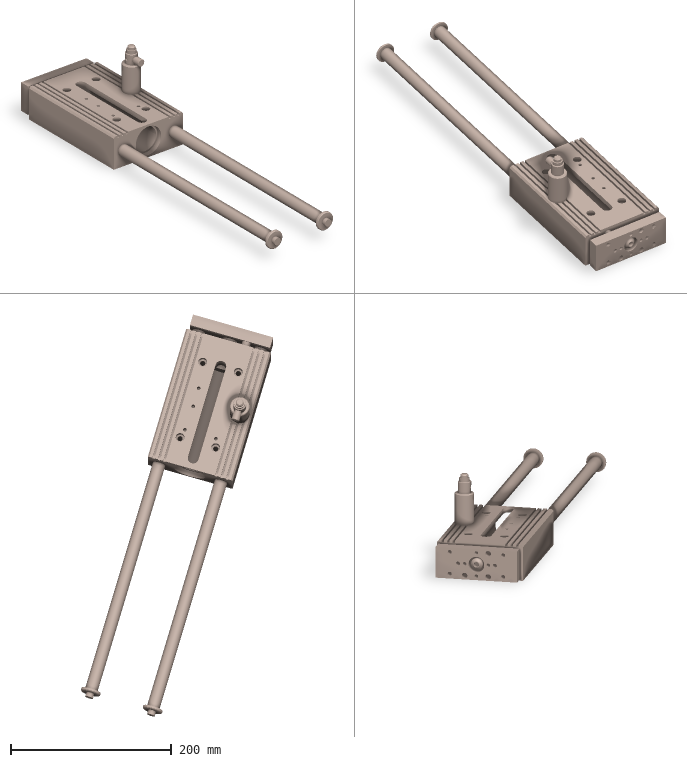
import cadquery as cq

TOTAL_LENGTH = 501.5
TOTAL_HEIGHT = 109.5

HOUSING_START = 20.0
HOUSING_END = 190.5
HOUSING_WIDTH = 110.0
HOUSING_HEIGHT = 46.0
SHOULDER_WIDTH = 2.0
SHOULDER_HEIGHT = 2.5
AXIS_Z = HOUSING_HEIGHT / 2
HOUSING_LENGTH = HOUSING_END - HOUSING_START

GROOVE_PITCH = 7.0
GROOVE_CENTER_Y = 40.5
GROOVE_WIDTH = 2.75
GROOVE_DEPTH = 3.0

BORE_DIAMETER = 35.0
BORE_START = 52.5
MOUTH_DIAMETER = 40.0
SLOT_START = 47.5
SLOT_END = 183.5
SLOT_WIDTH = 13.5

MOUNT_XS = (55.5, 156.0)
MOUNT_Y = 23.0
MOUNT_DIAMETER = 6.5
MOUNT_HEAD_DIAMETER = 11.0
MOUNT_HEAD_DEPTH = 7.0
DOWEL_POINTS = ((89.5, -18.5), (113.5, -18.5), (145.0, -20.0), (145.0, 20.0))
DOWEL_DIAMETER = 4.5
DOWEL_DEPTH = 8.0

LOCK_X = 106.0
LOCK_Y = 39.5
LOCK_DIAMETER = 24.0
LOCK_TOP = 85.5
NECK_DIAMETER = 16.0
NECK_TOP = 100.0
EDGE_CHAMFER = 0.5
LOCK_CHAMFER = 1.0
COLLAR_DIAMETER = 13.0
COLLAR_TOP = 104.5
TIP_DIAMETER = 10.0
TIP_CHAMFER = 1.5
VENT_DIAMETER = 4.1
VENT_DEPTH = 2.5
PORT_Z = 92.5
PORT_STEM_DIAMETER = 8.0
PORT_DIAMETER = 10.0
PORT_START = 116.0
PORT_END = 126.0

PLATE_THICKNESS = 14.0
PLATE_WIDTH = 104.0
PLATE_HEIGHT = 40.0

GUIDE_Y = 40.0
GUIDE_DIAMETER = 16.0
DISC_DIAMETER = 25.0
DISC_START = 492.5
DISC_THICKNESS = 3.5
DISC_CHAMFER = 1.0
STUD_DIAMETER = 10.0
PISTON_ROD_DIAMETER = 18.5
PISTON_ROD_END = 40.0
BUMPER_DIAMETER = 11.0
BUMPER_Y = 21.5
BUMPER_Z = 36.0

RECESS_DIAMETER = 20.0
RECESS_DEPTH = 7.0
ROD_TIP_BASE_DIAMETER = 15.0
ROD_TIP_DIAMETER = 8.0
SOCKET_DIAMETER = 6.5
SOCKET_DEPTH = 5.0

CORNER_Y = 34.0
CORNER_Z = 14.0
CORNER_DIAMETER = 6.5
CORNER_CORE_DIAMETER = 5.0
CORNER_SINK_DEPTH = 0.5
INNER_PITCH = 15.0
INNER_DIAMETER = 4.5
SIDE_Y = 23.5
SIDE_DIAMETER = 5.0
LARGE_DIAMETER = 7.0
PLATE_HOLE_DEPTH = 7.5


def rod(diameter, x_start, x_end, y=0.0, z=AXIS_Z):
    """Cylinder along X."""
    return (
        cq.Workplane("YZ", origin=(x_start, y, z))
        .circle(diameter / 2)
        .extrude(x_end - x_start)
    )


def post(diameter, z_start, z_end, x=LOCK_X, y=LOCK_Y):
    """Cylinder along Z."""
    return (
        cq.Workplane("XY", origin=(x, y, z_start))
        .circle(diameter / 2)
        .extrude(z_end - z_start)
    )


def housing_block():
    """Extruded block with its two long top edges sloped."""
    half = HOUSING_WIDTH / 2
    shoulder_z = HOUSING_HEIGHT - SHOULDER_HEIGHT
    return (
        cq.Workplane("YZ", origin=(HOUSING_START, 0, 0))
        .polyline([
            (-half, 0),
            (half, 0),
            (half, shoulder_z),
            (half - SHOULDER_WIDTH, HOUSING_HEIGHT),
            (-half + SHOULDER_WIDTH, HOUSING_HEIGHT),
            (-half, shoulder_z),
        ])
        .close()
        .extrude(HOUSING_LENGTH)
    )


def top_grooves():
    centers = [
        (side * (GROOVE_CENTER_Y + step * GROOVE_PITCH), HOUSING_HEIGHT)
        for side in (-1, 1)
        for step in (-1, 0, 1)
    ]
    return (
        cq.Workplane("YZ", origin=(HOUSING_START, 0, 0))
        .pushPoints(centers)
        .rect(GROOVE_WIDTH, 2 * GROOVE_DEPTH)
        .extrude(HOUSING_LENGTH)
    )


def bore_slot():
    length = SLOT_END - SLOT_START
    return (
        cq.Workplane("XY", origin=((SLOT_START + SLOT_END) / 2, 0, AXIS_Z))
        .slot2D(length, SLOT_WIDTH)
        .extrude(HOUSING_HEIGHT - AXIS_Z)
    )


def add_top_holes(housing):
    mounts = [(x, side * MOUNT_Y) for x in MOUNT_XS for side in (-1, 1)]
    top = cq.Workplane("XY", origin=(0, 0, HOUSING_HEIGHT))
    through = top.pushPoints(mounts).circle(MOUNT_DIAMETER / 2).extrude(-HOUSING_HEIGHT)
    heads = top.pushPoints(mounts).circle(MOUNT_HEAD_DIAMETER / 2).extrude(-MOUNT_HEAD_DEPTH)
    dowels = top.pushPoints(DOWEL_POINTS).circle(DOWEL_DIAMETER / 2).extrude(-DOWEL_DEPTH)
    return housing.cut(through).cut(heads).cut(dowels)


def locking_unit():
    """Stepped cylinder rooted inside the housing, with a side port toward +X."""
    body = post(LOCK_DIAMETER, AXIS_Z, LOCK_TOP).faces(">Z").chamfer(LOCK_CHAMFER)
    neck = post(NECK_DIAMETER, LOCK_TOP, NECK_TOP).faces(">Z").chamfer(EDGE_CHAMFER)
    collar = post(COLLAR_DIAMETER, NECK_TOP, COLLAR_TOP)
    tip = post(TIP_DIAMETER, COLLAR_TOP, TOTAL_HEIGHT).faces(">Z").chamfer(TIP_CHAMFER)
    stem = rod(PORT_STEM_DIAMETER, LOCK_X, PORT_START, LOCK_Y, PORT_Z)
    port = rod(PORT_DIAMETER, PORT_START, PORT_END, LOCK_Y, PORT_Z).faces(">X").chamfer(EDGE_CHAMFER)
    vent = (
        cq.Workplane("XZ", origin=(LOCK_X, LOCK_Y - NECK_DIAMETER / 2, PORT_Z))
        .circle(VENT_DIAMETER / 2)
        .extrude(-VENT_DEPTH)
    )
    return body.union(neck).union(collar).union(tip).union(stem).union(port).cut(vent)


def make_housing():
    housing = housing_block().cut(top_grooves())
    housing = housing.cut(rod(BORE_DIAMETER, BORE_START, HOUSING_END)).cut(bore_slot())
    housing = housing.cut(rod(MOUTH_DIAMETER, SLOT_END, HOUSING_END))
    housing = add_top_holes(housing).union(locking_unit())
    for side in (-1, 1):
        housing = housing.cut(rod(GUIDE_DIAMETER, HOUSING_START, HOUSING_END, side * GUIDE_Y))
    return housing.cut(rod(PISTON_ROD_DIAMETER, HOUSING_START, PISTON_ROD_END))


def plate_holes(points, diameter, depth):
    return (
        cq.Workplane("YZ", origin=(0, 0, AXIS_Z))
        .pushPoints(points)
        .circle(diameter / 2)
        .extrude(depth)
    )


def make_plate():
    plate = cq.Workplane("XY", origin=(0, 0, AXIS_Z)).box(
        PLATE_THICKNESS, PLATE_WIDTH, PLATE_HEIGHT, centered=(False, True, True)
    )
    corners = [(y, z) for y in (-CORNER_Y, CORNER_Y) for z in (-CORNER_Z, CORNER_Z)]
    inner = [(-INNER_PITCH, 0), (INNER_PITCH, 0), (0, -INNER_PITCH), (0, INNER_PITCH)]
    large = [(-INNER_PITCH, -INNER_PITCH), (INNER_PITCH, -INNER_PITCH), (-INNER_PITCH, INNER_PITCH)]
    sides = [(-SIDE_Y, 0), (SIDE_Y, 0)]
    for points, diameter, depth in (
        (corners, CORNER_DIAMETER, CORNER_SINK_DEPTH),
        (corners, CORNER_CORE_DIAMETER, PLATE_HOLE_DEPTH),
        (inner, INNER_DIAMETER, PLATE_HOLE_DEPTH),
        (large, LARGE_DIAMETER, PLATE_HOLE_DEPTH),
        (sides, SIDE_DIAMETER, PLATE_HOLE_DEPTH),
        ([(0, 0)], RECESS_DIAMETER, RECESS_DEPTH),
    ):
        plate = plate.cut(plate_holes(points, diameter, depth))
    return plate


def rod_tip():
    """Tapered end of the piston rod, standing in the recess of the plate."""
    taper = (ROD_TIP_BASE_DIAMETER - ROD_TIP_DIAMETER) / 2
    cone = rod(ROD_TIP_BASE_DIAMETER, 0, RECESS_DEPTH).faces("<X").chamfer(taper)
    return cone.cut(rod(SOCKET_DIAMETER, 0, SOCKET_DEPTH))


def guide_rod(side):
    y = side * GUIDE_Y
    disc_end = DISC_START + DISC_THICKNESS
    shaft = rod(GUIDE_DIAMETER, PLATE_THICKNESS, DISC_START, y)
    disc = rod(DISC_DIAMETER, DISC_START, disc_end, y).faces(">X").chamfer(DISC_CHAMFER)
    stud = rod(STUD_DIAMETER, disc_end, TOTAL_LENGTH, y)
    return shaft.union(disc).union(stud)


def make_slide():
    slide = make_plate().union(rod_tip())
    slide = slide.union(rod(PISTON_ROD_DIAMETER, PLATE_THICKNESS, PISTON_ROD_END))
    slide = slide.union(rod(BUMPER_DIAMETER, PLATE_THICKNESS, HOUSING_START, BUMPER_Y, BUMPER_Z))
    for side in (-1, 1):
        slide = slide.union(guide_rod(side))
    return slide


housing = make_housing()
slide = make_slide()
result = cq.Compound.makeCompound([housing.solids().val(), slide.solids().val()])